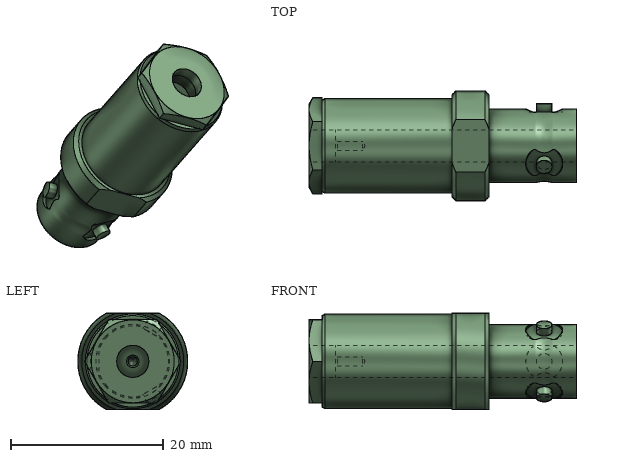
import cadquery as cq
import math


nut_length = 1.72
nut_sides = 6
nut_across_flats = 10.98
nut_across_corners = nut_across_flats / math.cos(math.pi / nut_sides)
nut_chamfer_angle = 30
nut_face_radius = 5.45

bore_radius = 2.1

overall_length = 35.18
barrel_radius = 6.23
barrel_chamfer_length = 0.4
barrel_chamfer_depth = 0.2
flange_start = 18.8
flange_end = 23.68
flange_diameter = 14.45
flange_radius = flange_diameter / 2
flange_chamfer = 0.53
flange_across_flats = 12.7
sleeve_radius = 4.85

stud_count = 3
stud_position = 30.92
stud_radius = 1.02
stud_tip = 5.55
pad_distance = 4.45
pad_radius = 2.43
groove_half_width = 1.13
groove_depth = 0.18

insert_start = 3.52
insert_hole_radius = 0.6
countersink_radius = 0.8
insert_hole_depth = 3.52
drill_point_angle = 118


def cylinder_along_x(radius, start, end):
    """Solid cylinder on the X axis between two X positions."""
    return cq.Workplane("YZ").workplane(offset=start).circle(radius).extrude(end - start)


def revolve_about_x(outline):
    """Close an XY outline and turn it fully about the X axis."""
    return outline.close().revolve(360, (0, 0, 0), (1, 0, 0))


def stud_cylinder(radius, inner, outer, index):
    """Cylinder pointing radially outward at the place of one stud."""
    return (
        cq.Workplane("XZ", origin=(stud_position, 0, 0))
        .workplane(offset=-outer)
        .circle(radius)
        .extrude(outer - inner)
        .rotate((0, 0, 0), (1, 0, 0), index * 360 / stud_count)
    )


def make_nut():
    hexagon = cq.Workplane("YZ").polygon(nut_sides, nut_across_corners).extrude(nut_length)
    cone_radius = nut_across_corners
    cone_length = (cone_radius - nut_face_radius) * math.tan(math.radians(nut_chamfer_angle))
    cone_envelope = revolve_about_x(
        cq.Workplane("XY")
        .lineTo(0, nut_face_radius)
        .lineTo(cone_length, cone_radius)
        .lineTo(cone_length, 0)
    )
    bore = cylinder_along_x(bore_radius, 0, nut_length)
    return hexagon.intersect(cone_envelope).cut(bore)


def make_barrel():
    return revolve_about_x(
        cq.Workplane("XY")
        .moveTo(nut_length, 0)
        .lineTo(nut_length, barrel_radius - barrel_chamfer_depth)
        .lineTo(nut_length + barrel_chamfer_length, barrel_radius)
        .lineTo(flange_start, barrel_radius)
        .lineTo(flange_start, 0)
    )


def make_flange():
    disc = cylinder_along_x(flange_radius, flange_start, flange_end).edges().chamfer(flange_chamfer)
    flats = cq.Workplane("XY").box(2 * overall_length, 2 * flange_radius, flange_across_flats)
    return disc.intersect(flats)


def make_groove():
    """Ring that cuts the shallow round-bottomed groove around the sleeve."""
    return revolve_about_x(
        cq.Workplane("XY")
        .moveTo(stud_position - groove_half_width, sleeve_radius)
        .threePointArc(
            (stud_position, sleeve_radius - groove_depth),
            (stud_position + groove_half_width, sleeve_radius),
        )
    )


def make_sleeve():
    sleeve = cylinder_along_x(sleeve_radius, flange_end, overall_length).cut(make_groove())
    for index in range(stud_count):
        sleeve = sleeve.cut(stud_cylinder(pad_radius, pad_distance, stud_tip, index))
    for index in range(stud_count):
        sleeve = sleeve.union(stud_cylinder(stud_radius, bore_radius, stud_tip, index))
    return sleeve


def make_housing():
    bore = cylinder_along_x(bore_radius, nut_length, overall_length)
    return make_barrel().union(make_flange()).union(make_sleeve()).cut(bore)


def make_insert():
    """Core that fills the housing bore from its set-back rear face, with a blind drilled hole there."""
    countersink_end = insert_start + countersink_radius - insert_hole_radius
    hole_end = insert_start + insert_hole_depth
    drill_point = insert_hole_radius / math.tan(math.radians(drill_point_angle / 2))
    hole = revolve_about_x(
        cq.Workplane("XY")
        .moveTo(insert_start, 0)
        .lineTo(insert_start, countersink_radius)
        .lineTo(countersink_end, insert_hole_radius)
        .lineTo(hole_end, insert_hole_radius)
        .lineTo(hole_end + drill_point, 0)
    )
    return cylinder_along_x(bore_radius, insert_start, overall_length).cut(hole)


nut = make_nut()
housing = make_housing()
insert = make_insert()

result = cq.Compound.makeCompound([nut.val(), housing.val(), insert.val()])